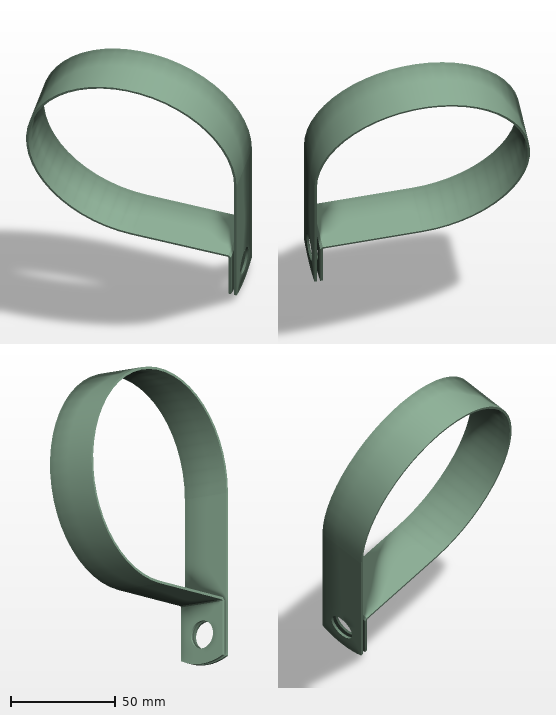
import cadquery as cq
import math

total_height = 135.3
loop_diameter = 105.5
strap_width = 25.5
strap_thickness = 1.2
leg_gap = 1.6
inner_bevel = 0.5
hole_diameter = 13.5
hole_height = 14.3
tip_radius = 29.8

outer_radius = loop_diameter / 2
inner_radius = outer_radius - strap_thickness
tip_z = outer_radius - total_height
shelf_bottom_z = -outer_radius
shelf_top_z = -inner_radius
short_leg_outer_x = inner_radius - leg_gap
short_leg_inner_x = short_leg_outer_x - strap_thickness
half_width = strap_width / 2
tip_drop = tip_radius - math.sqrt(tip_radius**2 - half_width**2)
arc_mid = math.sqrt(0.5)
outer_bevel = inner_bevel + strap_thickness * (2 - math.sqrt(2))


def make_strap():
    """Strap bent into three quarters of a circle, with a long leg, a shelf and a short leg."""
    profile = (
        cq.Workplane("XZ")
        .moveTo(outer_radius, tip_z)
        .lineTo(outer_radius, 0)
        .threePointArc((-outer_radius * arc_mid, outer_radius * arc_mid), (0, shelf_bottom_z))
        .lineTo(short_leg_inner_x - inner_bevel, shelf_bottom_z)
        .lineTo(short_leg_inner_x, shelf_bottom_z - inner_bevel)
        .lineTo(short_leg_inner_x, tip_z)
        .lineTo(short_leg_outer_x, tip_z)
        .lineTo(short_leg_outer_x, shelf_top_z - outer_bevel)
        .lineTo(short_leg_outer_x - outer_bevel, shelf_top_z)
        .lineTo(0, shelf_top_z)
        .threePointArc((-inner_radius * arc_mid, inner_radius * arc_mid), (inner_radius, 0))
        .lineTo(inner_radius, tip_z)
        .close()
    )
    return profile.extrude(half_width, both=True)


def make_side_outline():
    """Envelope along X that rounds the ends of both legs."""
    outline = (
        cq.Workplane("YZ")
        .moveTo(-half_width, outer_radius)
        .lineTo(-half_width, tip_z + tip_drop)
        .threePointArc((0, tip_z), (half_width, tip_z + tip_drop))
        .lineTo(half_width, outer_radius)
        .close()
    )
    return outline.extrude(outer_radius, both=True)


def make_bolt_hole():
    """Cutter for the hole through both legs."""
    return (
        cq.Workplane("YZ")
        .center(0, tip_z + hole_height)
        .circle(hole_diameter / 2)
        .extrude(loop_diameter)
    )


result = make_strap().intersect(make_side_outline()).cut(make_bolt_hole())